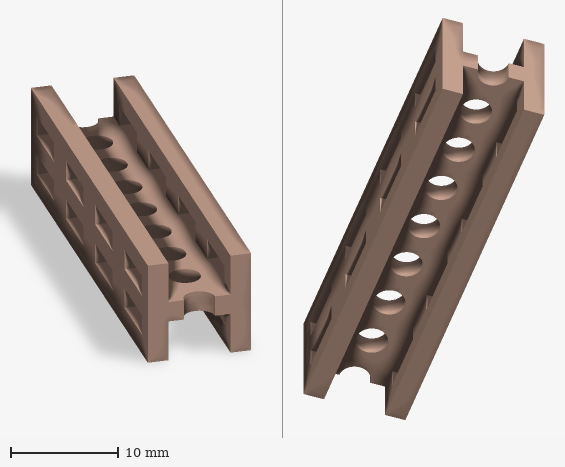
import cadquery as cq

length = 40.0
width = 10.0
height = 10.0
wall = 2.0

hole_diameter = 3.0
hole_pitch = 5.0

slot_length = 6.0
slot_height = 2.0
slot_pitch = 10.0

flange_offset = (width - wall) / 2
slot_offset = (wall + slot_height) / 2
hole_count = round(length / hole_pitch) + 1
slot_count = round(length / slot_pitch)


def make_beam():
    """H-section beam: two upright flanges joined by a horizontal web."""
    beam = cq.Workplane("XY").box(length, width, wall)
    for side in (-1, 1):
        flange = cq.Workplane("XY").box(length, wall, height)
        beam = beam.union(flange.translate((0, side * flange_offset, 0)))
    return beam


def make_web_holes():
    """Row of round holes through the web, centred on both ends as well."""
    return (
        cq.Workplane("XY")
        .rarray(hole_pitch, 0.4, hole_count, 1)
        .circle(hole_diameter / 2)
        .extrude(wall, both=True)
    )


def make_flange_slots():
    """Rectangular slots through both flanges, above and below the web."""
    return (
        cq.Workplane("XZ")
        .rarray(slot_pitch, 2 * slot_offset, slot_count, 2)
        .rect(slot_length, slot_height)
        .extrude(width, both=True)
    )


result = make_beam().cut(make_web_holes()).cut(make_flange_slots())